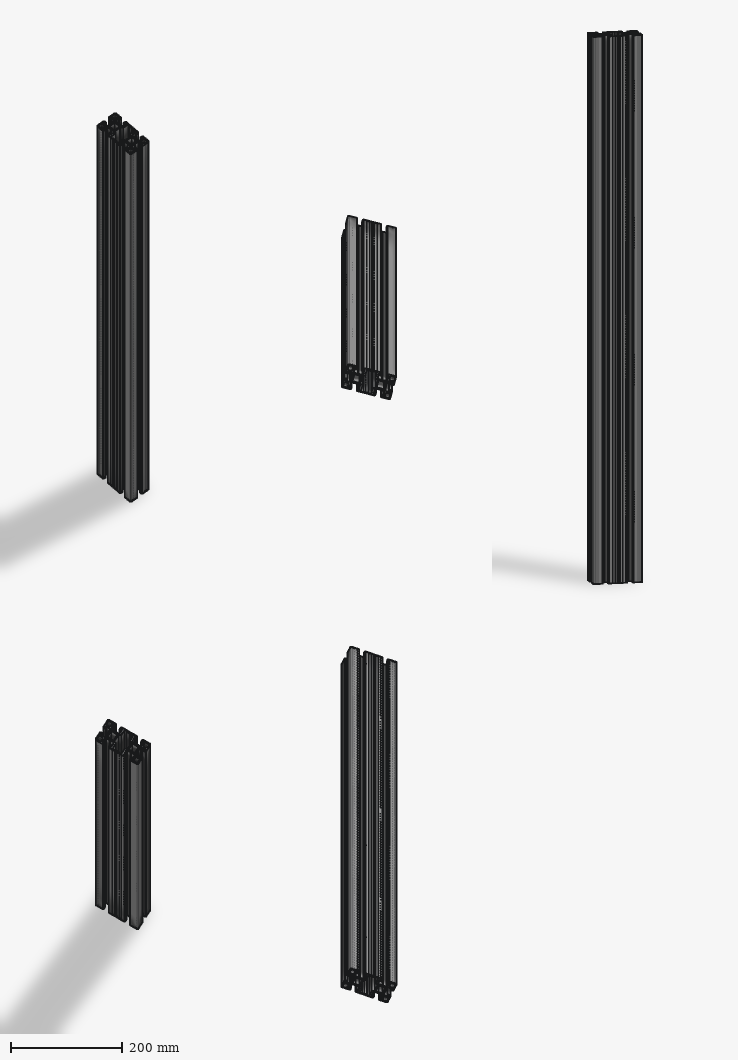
import cadquery as cq

length = 1000.0
cell = 45.0
cell_count = 2
width = cell * cell_count
corner_radius = 2.0

slot_width = 10.0
slot_chamfer = 1.3
lip_thickness = 2.2
nose_depth = 6.0
nose_width = 3.0
undercut_width = 18.0
undercut_bevel = 1.6
slot_depth = 13.0
floor_groove_width = 2.0
floor_groove_depth = 1.0

core_bore_size = 13.0
corner_bore_size = 8.5
corner_bore_radius = 2.5
corner_wall = 2.0

chamber_wall = 1.5
chamber_neck_width = 19.0
chamber_waist_width = 28.0
chamber_waist_height = 15.0
chamber_bevel = 1.3
pad_width = 9.0
pad_thickness = 1.0

face_groove_width = 2.0
face_groove_depth = 1.0

core_centers = [(-cell / 2, 0), (cell / 2, 0)]


def mirrored_in_x(half_points):
    """Complete a half outline with its mirror image about the Y axis."""
    return half_points + [(-x, y) for x, y in reversed(half_points) if x != 0]


def turned(shape, angle):
    return shape.rotate((0, 0, 0), (0, 0, 1), angle)


def prism(points):
    return cq.Workplane("XY").polyline(points).close().extrude(length)


def t_slot():
    """Slot cutter that opens at Y = 0 and runs down toward -Y."""
    opening = slot_width / 2
    nose = opening + nose_width
    undercut = undercut_width / 2
    return prism(mirrored_in_x([
        (opening + slot_chamfer, 0),
        (opening, -slot_chamfer),
        (opening, -nose_depth),
        (nose, -nose_depth),
        (nose, -lip_thickness),
        (undercut, -lip_thickness),
        (undercut, undercut_bevel - slot_depth),
        (undercut - undercut_bevel, -slot_depth),
        (floor_groove_width / 2, -slot_depth),
        (0, -slot_depth - floor_groove_depth),
    ]))


def chamber():
    """Central cavity: narrow beside the slots, wide at the waist, with a pad on each wall."""
    neck = chamber_neck_width / 2
    waist = chamber_waist_width / 2
    half_waist = chamber_waist_height / 2
    wall = cell / 2 - chamber_wall
    pad = pad_width / 2
    upper = [
        (pad, wall - pad_thickness),
        (pad, wall),
        (neck, wall),
        (neck, half_waist + chamber_bevel),
        (waist, half_waist),
    ]
    lower = [(x, -y) for x, y in reversed(upper)]
    return prism(mirrored_in_x(upper + lower))


def face_groove():
    """V-shaped cutter with its mouth at Y = 0."""
    half = face_groove_width / 2
    return prism([(-half, 0), (half, 0), (0, -face_groove_depth)])


def core_bores():
    return (
        cq.Workplane("XY")
        .pushPoints(core_centers)
        .rect(core_bore_size, core_bore_size)
        .extrude(length)
    )


def corner_bores():
    inset = corner_wall + corner_bore_size / 2
    bores = (
        cq.Workplane("XY")
        .rarray(width - 2 * inset, cell - 2 * inset, 2, 2)
        .rect(corner_bore_size, corner_bore_size)
        .extrude(length)
    )
    return bores.edges("|Z").fillet(corner_bore_radius)


body = cq.Workplane("XY").rect(width, cell).extrude(length)
body = body.edges("|Z").fillet(corner_radius)

for angle in (0, 180):
    for x, y in core_centers:
        body = body.cut(turned(t_slot().translate((x, y + cell / 2, 0)), angle))
    body = body.cut(turned(face_groove().translate((0, cell / 2, 0)), angle))
    body = body.cut(turned(t_slot().translate((0, width / 2, 0)), angle + 90))

body = body.cut(core_bores())
body = body.cut(corner_bores())
result = body.cut(chamber())